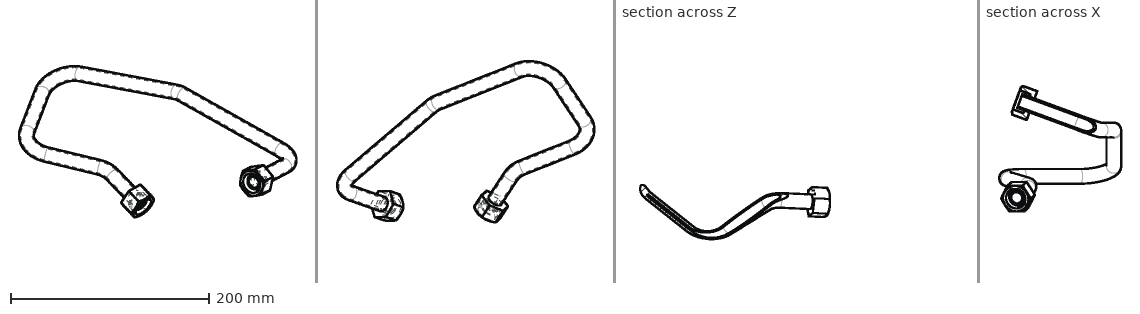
import cadquery as cq
import math

TUBE_DIAMETER = 15.0
TUBE_BORE = 11.5
BEND_RADIUS = 26.0
TUBE_RECESS = 4.0

UPPER_LEVEL = 18.5
LOWER_LEVEL = -28.2
REAR = 54.2
CORNERS = [
    cq.Vector(146.8, 38.5, UPPER_LEVEL),
    cq.Vector(-8.0, REAR, UPPER_LEVEL),
    cq.Vector(-163.2, REAR, LOWER_LEVEL),
    cq.Vector(-122.5, -61.5, LOWER_LEVEL),
    cq.Vector(-38.5, -30.0, -37.8),
]

UPPER_END_HEADING = -90
UPPER_END_RISE = 20.2
UPPER_END_LENGTH = 88.2
LOWER_END_HEADING = -15.2
LOWER_END_RISE = -12.9
LOWER_END_LENGTH = 57.5

NUT_ACROSS_FLATS = 27.0
NUT_ACROSS_CORNERS = NUT_ACROSS_FLATS / math.cos(math.radians(30))
NUT_LENGTH = 17.0
CHAMFER_DIAMETER = 26.3
CHAMFER_ANGLE = 30
THREAD_DIAMETER = 20.2
THREAD_DEPTH = 11.2


def direction_from_angles(heading, rise):
    """Unit vector from its heading in the XY plane and its rise above that plane."""
    heading = math.radians(heading)
    rise = math.radians(rise)
    return cq.Vector(
        math.cos(rise) * math.cos(heading),
        math.cos(rise) * math.sin(heading),
        math.sin(rise),
    )


UPPER_END_DIRECTION = direction_from_angles(UPPER_END_HEADING, UPPER_END_RISE)
LOWER_END_DIRECTION = direction_from_angles(LOWER_END_HEADING, LOWER_END_RISE)
UPPER_NUT_FACE = CORNERS[0] + UPPER_END_DIRECTION * UPPER_END_LENGTH
LOWER_NUT_FACE = CORNERS[-1] + LOWER_END_DIRECTION * LOWER_END_LENGTH


def centreline():
    """Straight runs joined by tangent arcs of the bend radius."""
    start = UPPER_NUT_FACE - UPPER_END_DIRECTION * TUBE_RECESS
    end = LOWER_NUT_FACE - LOWER_END_DIRECTION * TUBE_RECESS
    points = [start, *CORNERS, end]
    edges = []
    run_start = start
    for before, corner, after in zip(points, points[1:], points[2:]):
        back = (before - corner).normalized()
        ahead = (after - corner).normalized()
        half_angle = back.getAngle(ahead) / 2
        tangent_length = BEND_RADIUS / math.tan(half_angle)
        middle_distance = BEND_RADIUS / math.sin(half_angle) - BEND_RADIUS
        bend_start = corner + back * tangent_length
        bend_middle = corner + (back + ahead).normalized() * middle_distance
        bend_end = corner + ahead * tangent_length
        edges.append(cq.Edge.makeLine(run_start, bend_start))
        edges.append(cq.Edge.makeThreePointArc(bend_start, bend_middle, bend_end))
        run_start = bend_end
    edges.append(cq.Edge.makeLine(run_start, end))
    return cq.Wire.assembleEdges(edges)


def make_tube():
    """Bent tube with a bore along its whole length."""
    path = centreline()
    section = cq.Plane(origin=path.startPoint(), normal=-UPPER_END_DIRECTION)
    outside = cq.Workplane(section).circle(TUBE_DIAMETER / 2).sweep(path)
    bore = cq.Workplane(section).circle(TUBE_BORE / 2).sweep(path)
    return outside.cut(bore)


def make_nut(face_centre, direction, corner_direction):
    """Hexagon nut, open towards `direction`, with one corner towards `corner_direction`."""
    hexagon = cq.Workplane("XY").polygon(6, NUT_ACROSS_CORNERS).extrude(-NUT_LENGTH)
    face_radius = CHAMFER_DIAMETER / 2
    corner_radius = NUT_ACROSS_CORNERS / 2
    chamfer_drop = (corner_radius - face_radius) * math.tan(math.radians(CHAMFER_ANGLE))
    turned_blank = (
        cq.Workplane("XZ")
        .moveTo(0, 0)
        .lineTo(face_radius, 0)
        .lineTo(corner_radius, -chamfer_drop)
        .lineTo(corner_radius, -NUT_LENGTH)
        .lineTo(0, -NUT_LENGTH)
        .close()
        .revolve(360, (0, 0), (0, 1))
    )
    tube_hole = cq.Workplane("XY").circle(TUBE_DIAMETER / 2).extrude(-NUT_LENGTH)
    thread_hole = cq.Workplane("XY").circle(THREAD_DIAMETER / 2).extrude(-THREAD_DEPTH)
    nut = hexagon.intersect(turned_blank).cut(tube_hole).cut(thread_hole)
    open_face = cq.Plane(origin=face_centre, xDir=corner_direction, normal=direction)
    return nut.val().moved(open_face.location)


upper_nut_corner = direction_from_angles(UPPER_END_HEADING, UPPER_END_RISE + 90)
lower_nut_corner = direction_from_angles(LOWER_END_HEADING - 90, 0)
nut_places = [
    (UPPER_NUT_FACE, UPPER_END_DIRECTION, upper_nut_corner),
    (LOWER_NUT_FACE, LOWER_END_DIRECTION, lower_nut_corner),
]

tube = make_tube()
nuts = []
for face_centre, direction, corner_direction in nut_places:
    nuts.append(make_nut(face_centre, direction, corner_direction))

result = cq.Compound.makeCompound([tube.val(), *nuts])